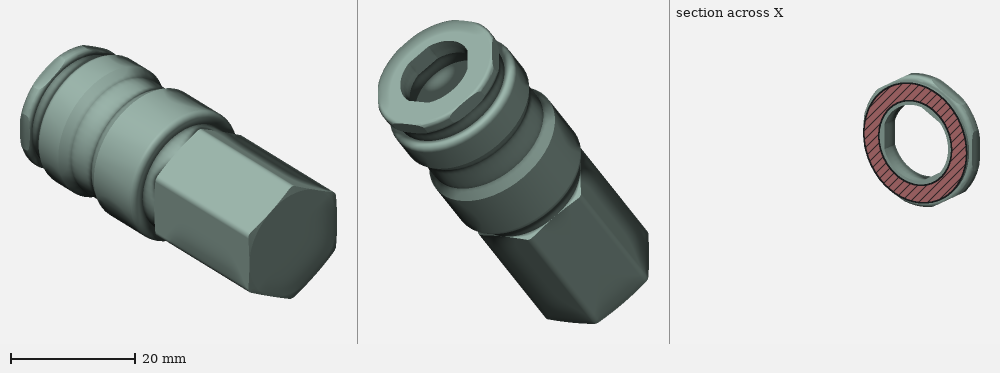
import cadquery as cq
import math

TOTAL_LENGTH = 54.5
COLLAR_LENGTH = 2.5
SLEEVE_START = 5.2
SLEEVE_END = 28.65
HEX_START = 31.45

COLLAR_DIAMETER = 22.0
COLLAR_ACROSS_FLATS = 21.0
COLLAR_FILLET = 0.75

FRONT_NECK_DIAMETER = 20.0
BARREL_DIAMETER = 18.95

HEX_ACROSS_FLATS = 18.95
HEX_CORNER_RADIUS = 1.1
HEX_CHAMFER_ANGLE = 13.0

SOCKET_DIAMETER = 12.7
SOCKET_FLAT_DISTANCE = 6.0
SOCKET_FLAT_COUNT = 3
SOCKET_LIP_DEPTH = 3.15
CHAMBER_DIAMETER = 14.0
SOCKET_DEPTH = 6.1

SLEEVE_DIAMETER = 23.15
SLEEVE_FILLET = 1.0
WAIST_DIAMETER = 21.0
WAIST_START = 12.4
WAIST_END = 17.3
WAIST_SLOPE = 30.0


def rod(start, end, diameter):
    """Cylinder on the X axis between two stations."""
    return cq.Workplane("YZ", origin=(start, 0, 0)).circle(diameter / 2).extrude(end - start)


def hex_prism(start, end, across_flats):
    """Hexagonal bar on the X axis with flats facing +Y and -Y."""
    across_corners = across_flats / math.cos(math.radians(30))
    return (
        cq.Workplane("YZ", origin=(start, 0, 0))
        .transformed(rotate=(0, 0, 90))
        .polygon(6, across_corners)
        .extrude(end - start)
    )


def make_collar():
    """Round-edged disc with six flats."""
    disc = rod(0, COLLAR_LENGTH, COLLAR_DIAMETER).edges("%CIRCLE").fillet(COLLAR_FILLET)
    return disc.intersect(hex_prism(0, COLLAR_LENGTH, COLLAR_ACROSS_FLATS))


def make_rear_hex():
    """Hexagon with rounded corners and a conical chamfer at both ends."""
    bar = hex_prism(HEX_START, TOTAL_LENGTH, HEX_ACROSS_FLATS).edges("|X").fillet(HEX_CORNER_RADIUS)
    end_radius = HEX_ACROSS_FLATS / 2
    corner_radius = end_radius / math.cos(math.radians(30))
    chamfer_length = (corner_radius - end_radius) * math.tan(math.radians(HEX_CHAMFER_ANGLE))
    envelope = (
        cq.Workplane("XY")
        .moveTo(HEX_START, 0)
        .lineTo(HEX_START, end_radius)
        .lineTo(HEX_START + chamfer_length, corner_radius)
        .lineTo(TOTAL_LENGTH - chamfer_length, corner_radius)
        .lineTo(TOTAL_LENGTH, end_radius)
        .lineTo(TOTAL_LENGTH, 0)
        .close()
        .revolve(360, (0, 0, 0), (1, 0, 0))
    )
    return bar.intersect(envelope)


def make_socket():
    """Socket space: a lip bore with three flats, then a wider round chamber."""
    lip = rod(0, SOCKET_LIP_DEPTH, SOCKET_DIAMETER)
    for index in range(SOCKET_FLAT_COUNT):
        beyond_flat = (
            cq.Workplane("XY")
            .box(SOCKET_LIP_DEPTH, SOCKET_DIAMETER, SOCKET_DIAMETER, centered=(False, False, True))
            .translate((0, SOCKET_FLAT_DISTANCE, 0))
            .rotate((0, 0, 0), (1, 0, 0), 180 + index * 360 / SOCKET_FLAT_COUNT)
        )
        lip = lip.cut(beyond_flat)
    return lip.union(rod(SOCKET_LIP_DEPTH, SOCKET_DEPTH, CHAMBER_DIAMETER))


def make_core():
    """Inner body: collar, front neck, barrel under the sleeve, and rear hexagon."""
    front_neck = rod(COLLAR_LENGTH, SLEEVE_START, FRONT_NECK_DIAMETER)
    barrel = rod(SLEEVE_START, HEX_START, BARREL_DIAMETER)
    solid_core = make_collar().union(front_neck).union(barrel).union(make_rear_hex())
    return solid_core.cut(make_socket())


def make_sleeve():
    """Outer sleeve with a waist, sliding on the barrel."""
    outer_radius = SLEEVE_DIAMETER / 2
    waist_radius = WAIST_DIAMETER / 2
    bore_radius = BARREL_DIAMETER / 2
    slope_length = (outer_radius - waist_radius) / math.tan(math.radians(WAIST_SLOPE))
    blank = (
        cq.Workplane("XY")
        .moveTo(SLEEVE_START, bore_radius)
        .lineTo(SLEEVE_START, outer_radius)
        .lineTo(WAIST_START - slope_length, outer_radius)
        .lineTo(WAIST_START, waist_radius)
        .lineTo(WAIST_END, waist_radius)
        .lineTo(WAIST_END + slope_length, outer_radius)
        .lineTo(SLEEVE_END, outer_radius)
        .lineTo(SLEEVE_END, bore_radius)
        .close()
        .revolve(360, (0, 0, 0), (1, 0, 0))
    )
    end_rims = blank.faces("<X or >X").edges(cq.selectors.RadiusNthSelector(-1))
    return end_rims.fillet(SLEEVE_FILLET)


core = make_core()
sleeve = make_sleeve()

result = cq.Compound.makeCompound([core.val(), sleeve.val()])